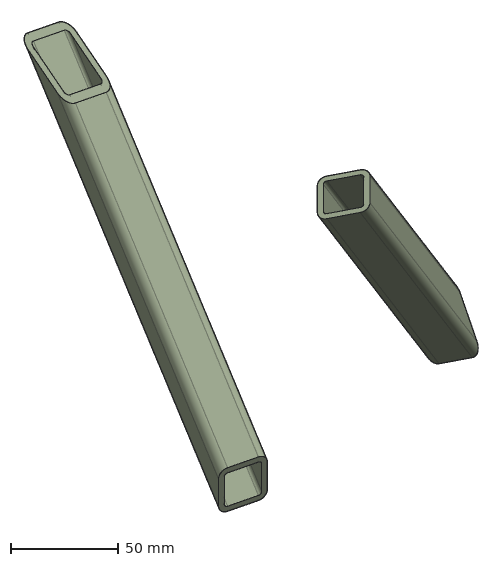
import cadquery as cq
import math

span = 212.7
slope = 30.0
tube_size = 25.3
wall = 3.0
outer_radius = 4.7
inner_radius = outer_radius - wall

drop = span * math.tan(math.radians(slope))
tube_length = 2 * span


def sloping_bar(size, corner_radius):
    """Long rounded square bar whose axis passes through the tube centre."""
    bar = (
        cq.Workplane("YZ")
        .rect(size, size)
        .extrude(tube_length / 2, both=True)
        .edges("|X")
        .fillet(corner_radius)
        .rotate((0, 0, 0), (0, 1, 0), slope)
    )
    axis_rise = tube_size / 2 / math.cos(math.radians(slope))
    return bar.translate((0, 0, axis_rise))


tube = sloping_bar(tube_size, outer_radius).cut(
    sloping_bar(tube_size - 2 * wall, inner_radius)
)

envelope = cq.Workplane("XY").box(span, tube_size, drop)
result = tube.intersect(envelope)